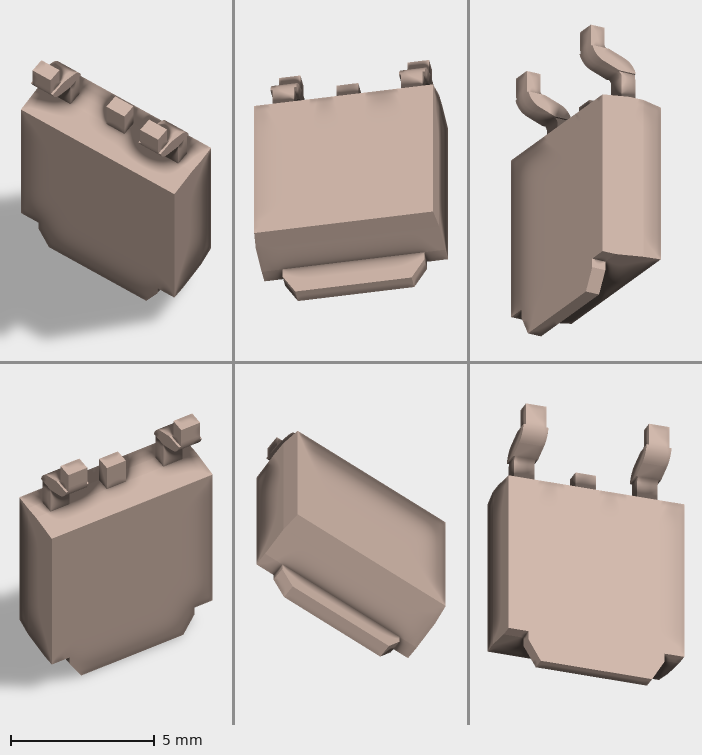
import cadquery as cq
import math


housing_width = 6.5
housing_back_width = 6.34
housing_depth = 2.37
parting_y = 1.64
housing_top = 7.19
housing_top_front = 7.06
housing_top_back = 7.1
housing_bottom = 1.08
housing_bottom_parting = 1.22
housing_bottom_back = 1.31

tab_width = 5.02
tab_end_width = 4.12
tab_height = 5.02
tab_thickness = 0.53
tab_bevel_height = 0.75

lead_pitch = 4.56
lead_width = 0.76
lead_thickness = 0.55
lead_y = parting_y - lead_thickness / 2
middle_lead_top = 8.2
lead_tip = 9.91
tip_front_y = -0.14
tip_y = tip_front_y + lead_thickness / 2
bend_angle = math.radians(70)
bend_inner_radius = 0.19
bend_outer_radius = bend_inner_radius + lead_thickness
bend_middle_z = 8.74
wide_width = 0.92
wide_height = 0.73


def make_tab():
    """Heat-sink plate with its two lower corners bevelled."""
    outline = [
        (-tab_end_width / 2, 0),
        (tab_end_width / 2, 0),
        (tab_width / 2, tab_bevel_height),
        (tab_width / 2, tab_height),
        (-tab_width / 2, tab_height),
        (-tab_width / 2, tab_bevel_height),
    ]
    return cq.Workplane("XZ").polyline(outline).close().extrude(-tab_thickness)


def make_housing(tab):
    """Moulded block with sloped ends, tapered back sides and a recess for the tab."""
    side_outline = [
        (0, housing_bottom),
        (tab_thickness, housing_bottom),
        (parting_y, housing_bottom_parting),
        (housing_depth, housing_bottom_back),
        (housing_depth, housing_top_back),
        (parting_y, housing_top),
        (parting_y - lead_thickness, housing_top),
        (0, housing_top_front),
    ]
    plan_outline = [
        (-housing_width / 2, 0),
        (housing_width / 2, 0),
        (housing_width / 2, parting_y),
        (housing_back_width / 2, housing_depth),
        (-housing_back_width / 2, housing_depth),
        (-housing_width / 2, parting_y),
    ]
    block = cq.Workplane("YZ").polyline(side_outline).close().extrude(housing_width / 2, both=True)
    plan = cq.Workplane("XY").polyline(plan_outline).close().extrude(housing_top)
    return block.intersect(plan).cut(tab).solids()


def make_middle_lead():
    """Short straight lead standing on the housing top."""
    height = middle_lead_top - housing_top
    return (
        cq.Workplane("XY", origin=(0, lead_y, housing_top))
        .rect(lead_width, lead_thickness)
        .extrude(height)
    )


def make_bent_strip(x, width):
    """Strip of constant thickness that steps forward through two rounded bends."""
    half = lead_thickness / 2
    half_rise = (lead_y - tip_y) / (2 * math.tan(bend_angle))
    miter = half * math.tan(bend_angle / 2)
    lower_z = bend_middle_z - half_rise
    upper_z = bend_middle_z + half_rise
    lower_inner = (lead_y - half, lower_z - miter)
    lower_outer = (lead_y + half, lower_z + miter)
    upper_inner = (tip_y + half, upper_z + miter)
    upper_outer = (tip_y - half, upper_z - miter)
    outline = [
        (lead_y - half, housing_top),
        lower_inner,
        upper_outer,
        (tip_y - half, lead_tip),
        (tip_y + half, lead_tip),
        upper_inner,
        lower_outer,
        (lead_y + half, housing_top),
    ]
    strip = (
        cq.Workplane("YZ", origin=(x, 0, 0))
        .polyline(outline)
        .close()
        .extrude(width / 2, both=True)
    )
    corners = (
        (lower_inner, bend_inner_radius),
        (lower_outer, bend_outer_radius),
        (upper_inner, bend_inner_radius),
        (upper_outer, bend_outer_radius),
    )
    for (y, z), radius in corners:
        strip = strip.edges(cq.NearestToPointSelector((x, y, z))).fillet(radius)
    return strip


def make_bent_lead(x):
    """Bent lead that is wider over the middle of its bend."""
    slab = cq.Workplane("XY", origin=(x, 0, bend_middle_z)).box(
        wide_width, 2 * housing_depth, wide_height
    )
    wide_part = make_bent_strip(x, wide_width).intersect(slab)
    return make_bent_strip(x, lead_width).union(wide_part).solids()


tab = make_tab()
housing = make_housing(tab)
middle_lead = make_middle_lead()
bent_leads = [make_bent_lead(side * lead_pitch / 2) for side in (-1, 1)]

result = cq.Compound.makeCompound(
    [housing.val(), tab.val(), middle_lead.val(), *[lead.val() for lead in bent_leads]]
)